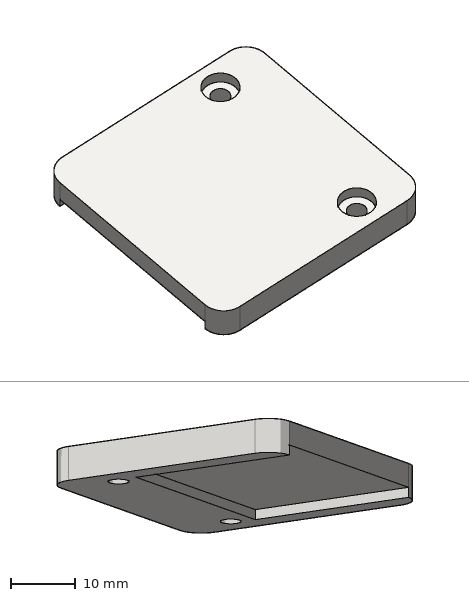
import cadquery as cq

side = 41.8
thickness = 5.4
corner_radius = 3.85

hole_spacing = 32.1
hole_y = 11.0
hole_diameter = 3.2
counterbore_diameter = 6.0
counterbore_depth = 2.0

recess_height = 1.6
recess_width = side - 2 * corner_radius
recess_end_gap = 0.85
recess_end_y = hole_y - counterbore_diameter / 2 - recess_end_gap
recess_length = recess_end_y + side / 2


def make_plate():
    plate = cq.Workplane("XY").rect(side, side).extrude(thickness)
    return plate.edges("|Z").fillet(corner_radius)


def make_recess():
    return (
        cq.Workplane("XY")
        .center(0, recess_end_y - recess_length / 2)
        .rect(recess_width, recess_length)
        .extrude(recess_height)
    )


def drill_screw_holes(body):
    return (
        body.faces(">Z")
        .workplane(origin=(0, 0, thickness))
        .pushPoints([(-hole_spacing / 2, hole_y), (hole_spacing / 2, hole_y)])
        .cboreHole(hole_diameter, counterbore_diameter, counterbore_depth)
    )


result = drill_screw_holes(make_plate().cut(make_recess()))